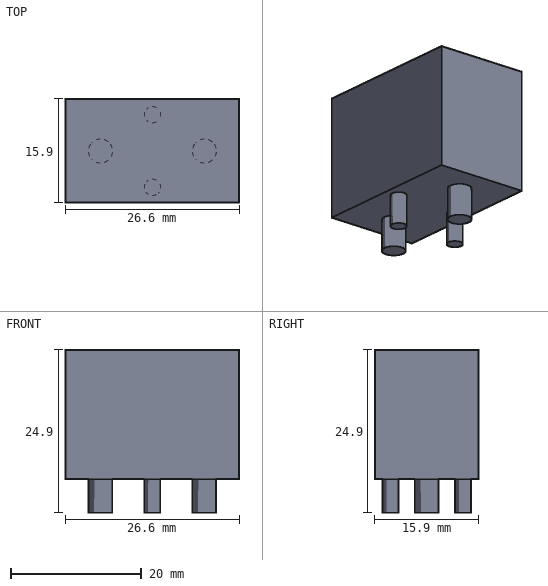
import cadquery as cq

housing_length = 26.57
housing_width = 15.9
total_height = 24.92

pin_length = 5.13
large_pin_diameter = 3.67
large_pin_spacing = 15.9
small_pin_diameter = 2.5
small_pin_spacing = 11.1

housing_height = total_height - pin_length


def make_housing():
    """Plain block with its underside on Z = 0."""
    return cq.Workplane("XY").box(
        housing_length, housing_width, housing_height, centered=(True, True, False)
    )


def make_pin(diameter, x, y):
    """Round pin hanging down from the underside of the housing."""
    return cq.Workplane("XY").center(x, y).circle(diameter / 2).extrude(-pin_length)


housing = make_housing()
large_pins = [make_pin(large_pin_diameter, side * large_pin_spacing / 2, 0) for side in (-1, 1)]
small_pins = [make_pin(small_pin_diameter, 0, side * small_pin_spacing / 2) for side in (-1, 1)]

result = cq.Compound.makeCompound(
    [housing.val()] + [pin.val() for pin in large_pins + small_pins]
)